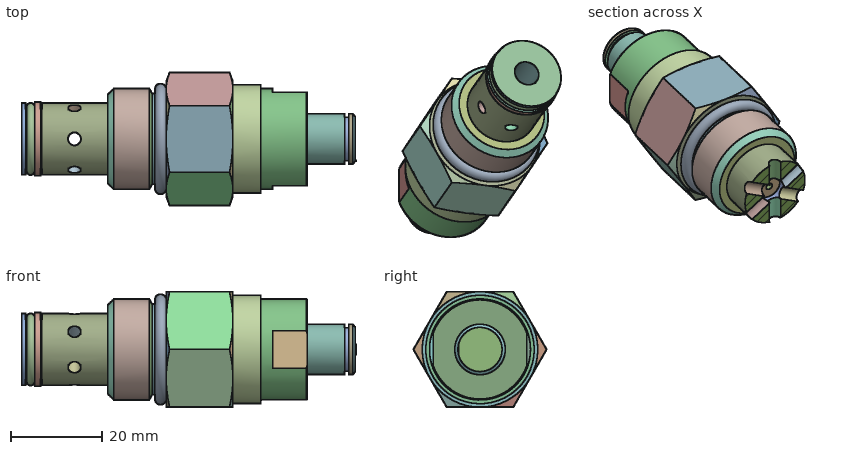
import cadquery as cq
import math


CAGE_DIAMETER = 15.8
CAGE_LENGTH = 18.9
BORE_DIAMETER = 5.5
SEAL_GROOVE_DIAMETER = 13.2
SEAL_GROOVE_START = 0.9
SEAL_GROOVE_END = 4.5
PORT_DIAMETER = 2.8
PORT_X = 11.6
PORT_COUNT = 6
PORT_FIRST_ANGLE = 30

POPPET_FACE_X = 14.0
DIMPLE_DIAMETER = 1.55
DIMPLE_DEPTH = DIMPLE_DIAMETER / 2

NOSE_RING_SECTION = 1.8
NOSE_RING_OUTER_DIAMETER = 15.9
BACKUP_DIAMETER = 16.25
BACKUP_START = 2.9
BACKUP_WIDTH = 1.3

THREAD_DIAMETER = 22.2
THREAD_CHAMFER_LENGTH = 1.4
THREAD_CHAMFER_DEPTH = 1.3
THREAD_END = 28.0
UNDERCUT_DIAMETER = 20.0
UNDERCUT_START = 28.7
HEX_START = 31.8
HEX_END = 46.4
HEX_ACROSS_FLATS = 25.4
HEX_CHAMFER_LENGTH = 0.7
COLLAR_DIAMETER = 23.8
COLLAR_END = 52.6

BODY_RING_SECTION = 2.5
BODY_RING_OUTER_DIAMETER = 24.35

CAP_DIAMETER = 22.2
CAP_END = 62.75
CAP_CHAMFER = 0.2
CAP_FLATS_START = 55.2
CAP_ACROSS_FLATS = 20.6

STEM_DIAMETER = 11.1
STEM_END = 73.35
STEM_GROOVE_DIAMETER = 9.6
STEM_GROOVE_START = 71.0
STEM_GROOVE_END = 71.9
STEM_CHAMFER_LENGTH = 0.6
STEM_TIP_DIAMETER = 9.7
TAB_HEIGHT = 0.2
TAB_INNER_Y = 4.7


def cylinder(diameter, start, end):
    """A solid cylinder along X."""
    return cq.Workplane("YZ", origin=(start, 0, 0)).circle(diameter / 2).extrude(end - start)


def turned(profile):
    """Revolve a list of (x, radius) points, closed along the axis, about X."""
    start = (profile[0][0], 0)
    end = (profile[-1][0], 0)
    outline = cq.Workplane("XY").polyline([start, *profile, end]).close()
    return outline.revolve(360, (0, 0, 0), (1, 0, 0))


def o_ring(outer_diameter, section, center_x):
    """A round-section ring about X."""
    center_radius = (outer_diameter - section) / 2
    outline = cq.Workplane("XY").center(center_x, center_radius).circle(section / 2)
    return outline.revolve(360, (-center_x, -center_radius, 0), (0.7 - center_x, -center_radius, 0))


def groove(outer_diameter, inner_diameter, start, end):
    """The ring of material between two diameters, along X."""
    return cylinder(outer_diameter, start, end).cut(cylinder(inner_diameter, start, end))


def make_nose_ring():
    return o_ring(NOSE_RING_OUTER_DIAMETER, NOSE_RING_SECTION, BACKUP_START - NOSE_RING_SECTION / 2)


def make_backup_ring():
    return groove(BACKUP_DIAMETER, SEAL_GROOVE_DIAMETER, BACKUP_START, BACKUP_START + BACKUP_WIDTH)


def make_cage(nose_ring):
    cage = cylinder(CAGE_DIAMETER, 0, CAGE_LENGTH)
    cage = cage.cut(cylinder(BORE_DIAMETER, 0, CAGE_LENGTH))
    cage = cage.cut(groove(CAGE_DIAMETER, SEAL_GROOVE_DIAMETER, SEAL_GROOVE_START, SEAL_GROOVE_END))

    port = cq.Workplane("XZ", origin=(PORT_X, 0, 0)).circle(PORT_DIAMETER / 2).extrude(CAGE_DIAMETER)
    for i in range(PORT_COUNT):
        angle = PORT_FIRST_ANGLE + i * 360 / PORT_COUNT
        cage = cage.cut(port.rotate((0, 0, 0), (1, 0, 0), angle))

    return cage.cut(nose_ring)


def make_poppet():
    poppet = cylinder(BORE_DIAMETER, POPPET_FACE_X, CAGE_LENGTH)

    dimple = cq.Solid.makeCone(
        DIMPLE_DIAMETER / 2, 0, DIMPLE_DEPTH, cq.Vector(POPPET_FACE_X, 0, 0), cq.Vector(1, 0, 0)
    )
    return poppet.cut(cq.Workplane(dimple))


def make_body_ring():
    return o_ring(BODY_RING_OUTER_DIAMETER, BODY_RING_SECTION, HEX_START - BODY_RING_SECTION / 2)


def make_hexagon():
    """The hexagon, with its corners chamfered by cones at both ends."""
    flat_radius = HEX_ACROSS_FLATS / 2
    corner_radius = flat_radius / math.cos(math.radians(30))
    hexagon = (
        cq.Workplane("YZ", origin=(HEX_START, 0, 0))
        .polygon(6, 2 * corner_radius)
        .extrude(HEX_END - HEX_START)
    )
    chamfer_envelope = turned([
        (HEX_START, flat_radius),
        (HEX_START + HEX_CHAMFER_LENGTH, corner_radius),
        (HEX_END - HEX_CHAMFER_LENGTH, corner_radius),
        (HEX_END, flat_radius),
    ])
    return hexagon.intersect(chamfer_envelope)


def make_body(body_ring):
    thread_radius = THREAD_DIAMETER / 2
    undercut_radius = UNDERCUT_DIAMETER / 2
    threaded_part = turned([
        (CAGE_LENGTH, thread_radius - THREAD_CHAMFER_DEPTH),
        (CAGE_LENGTH + THREAD_CHAMFER_LENGTH, thread_radius),
        (THREAD_END, thread_radius),
        (UNDERCUT_START, undercut_radius),
        (HEX_START, undercut_radius),
    ])
    collar = cylinder(COLLAR_DIAMETER, HEX_END, COLLAR_END)
    body = make_hexagon().union(threaded_part).union(collar)

    return body.cut(body_ring)


def make_cap():
    cap = cylinder(CAP_DIAMETER, COLLAR_END, CAP_END).faces(">X").chamfer(CAP_CHAMFER)
    flats_length = CAP_END - CAP_FLATS_START
    for side in (-1, 1):
        flat_cutter = cq.Workplane("XY").box(flats_length, CAP_DIAMETER, CAP_DIAMETER)
        cutter_y = side * (CAP_ACROSS_FLATS + CAP_DIAMETER) / 2
        cap = cap.cut(flat_cutter.translate((CAP_FLATS_START + flats_length / 2, cutter_y, 0)))
    return cap


def make_stem():
    stem = turned([
        (CAP_END, STEM_DIAMETER / 2),
        (STEM_END - STEM_CHAMFER_LENGTH, STEM_DIAMETER / 2),
        (STEM_END, STEM_TIP_DIAMETER / 2),
    ])
    stem = stem.cut(groove(STEM_DIAMETER, STEM_GROOVE_DIAMETER, STEM_GROOVE_START, STEM_GROOVE_END))

    tip_radius = STEM_TIP_DIAMETER / 2
    chord_half = math.sqrt(tip_radius**2 - TAB_INNER_Y**2)
    tab = (
        cq.Workplane("YZ", origin=(STEM_END, 0, 0))
        .moveTo(-TAB_INNER_Y, -chord_half)
        .threePointArc((-tip_radius, 0), (-TAB_INNER_Y, chord_half))
        .close()
        .extrude(TAB_HEIGHT)
    )
    return stem.union(tab)


nose_ring = make_nose_ring()
backup_ring = make_backup_ring()
cage = make_cage(nose_ring)
poppet = make_poppet()
body_ring = make_body_ring()
body = make_body(body_ring)
cap = make_cap()
stem = make_stem()

result = cq.Compound.makeCompound([
    cage.val(),
    nose_ring.val(),
    backup_ring.val(),
    poppet.val(),
    body.val(),
    body_ring.val(),
    cap.val(),
    stem.val(),
])